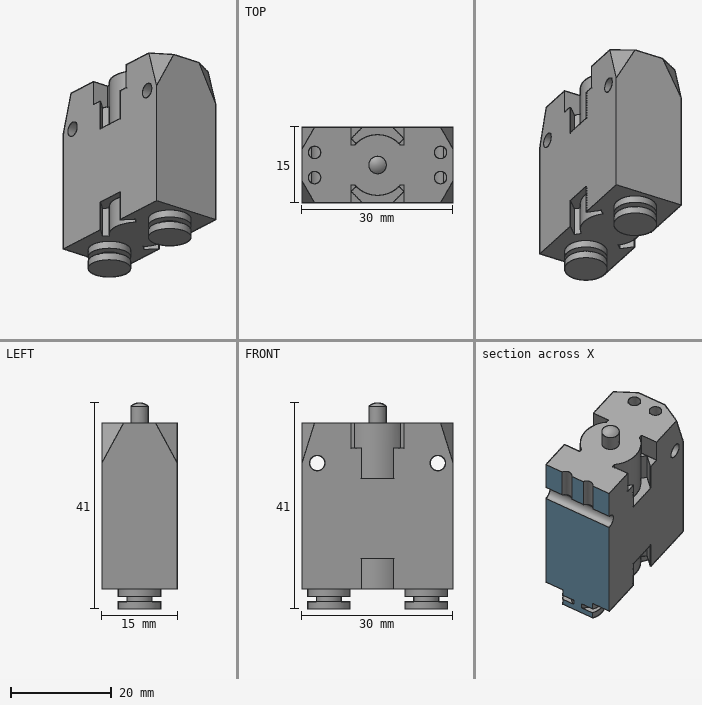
import cadquery as cq

body_width = 30.0
body_depth = 15.0
body_height = 33.0
half_width = body_width / 2
half_depth = body_depth / 2

corner_cut_x = 2.5
corner_cut_y = 4.35
corner_cut_z = 8.0

core_radius = 6.03
notch_width = 10.5
notch_inner_y = 3.95
notch_depth = 5.0
recess_opening = 6.4
top_recess_depth = 11.03
bottom_recess_height = 6.03

cross_hole_diameter = 3.0
cross_hole_x = 11.97
cross_hole_drop = 8.0
cross_hole_z = body_height - cross_hole_drop
top_hole_diameter = 2.45
top_hole_x = 12.5
top_hole_y = 2.5
top_hole_depth = 7.0

pin_radius = 3.5 / 2
pin_dome_height = 0.7

foot_radius = 8.5 / 2
foot_neck_radius = 5.0 / 2
foot_x = 9.68
foot_flange_height = 1.5
foot_neck_height = 1.0
foot_height = 2 * foot_flange_height + foot_neck_height

overall_height = 41
pin_height = overall_height - foot_height - body_height
pin_side_height = pin_height - pin_dome_height


def corner_cutter(side_x, side_y):
    """Tetrahedron that slices one top corner off the block."""
    corner = cq.Vector(side_x * half_width, side_y * half_depth, body_height)
    along_x = corner - cq.Vector(side_x * corner_cut_x, 0, 0)
    along_y = corner - cq.Vector(0, side_y * corner_cut_y, 0)
    below = corner - cq.Vector(0, 0, corner_cut_z)
    triangles = [
        (corner, along_x, along_y),
        (corner, along_y, below),
        (corner, below, along_x),
        (along_x, along_y, below),
    ]
    faces = [cq.Face.makeFromWires(cq.Wire.makePolygon(points, close=True)) for points in triangles]
    return cq.Workplane(obj=cq.Solid.makeSolid(cq.Shell.makeShell(faces)))


def core(bottom, height):
    """Length of the round core that the recesses leave standing."""
    return cq.Workplane(origin=(0, 0, bottom)).circle(core_radius).extrude(height)


def recess_cutter(bottom, height):
    """Front recess around the core: a short straight lip, then 45 degree undercut walls."""
    half_opening = recess_opening / 2
    widest = notch_width / 2
    lip_y = 2 * widest - half_opening
    outline = [
        (0, 0),
        (widest, -widest),
        (half_opening, -lip_y),
        (half_opening, -half_depth),
        (-half_opening, -half_depth),
        (-half_opening, -lip_y),
        (-widest, -widest),
    ]
    pocket = cq.Workplane(origin=(0, 0, bottom)).polyline(outline).close().extrude(height)
    return pocket.cut(core(bottom, height))


def notch_cutter():
    """Wider square-sided step at the top of the front recess."""
    bottom = body_height - notch_depth
    notch = cq.Workplane().box(
        notch_width, half_depth - notch_inner_y, notch_depth, centered=(True, False, False)
    ).translate((0, -half_depth, bottom))
    return notch.cut(core(bottom, notch_depth))


def foot():
    lower_flange = cq.Workplane(origin=(0, 0, -foot_height)).circle(foot_radius).extrude(foot_flange_height)
    neck = lower_flange.faces(">Z").workplane().circle(foot_neck_radius).extrude(foot_neck_height)
    return neck.faces(">Z").workplane().circle(foot_radius).extrude(foot_flange_height)


def pin():
    """Round pin whose tip is a spherical cap."""
    dome_radius = (pin_radius**2 + pin_dome_height**2) / (2 * pin_dome_height)
    cap_mid_x = pin_radius / 2
    cap_mid_y = pin_height - dome_radius + (dome_radius**2 - cap_mid_x**2) ** 0.5
    profile = (
        cq.Workplane("XZ", origin=(0, 0, body_height))
        .lineTo(pin_radius, 0)
        .lineTo(pin_radius, pin_side_height)
        .threePointArc((cap_mid_x, cap_mid_y), (0, pin_height))
        .close()
    )
    return profile.revolve(360, (0, 0, 0), (0, 1, 0))


result = cq.Workplane().box(body_width, body_depth, body_height, centered=(True, True, False))

for side_x in (-1, 1):
    for side_y in (-1, 1):
        result = result.cut(corner_cutter(side_x, side_y))

front_cutters = [
    notch_cutter(),
    recess_cutter(body_height - top_recess_depth, top_recess_depth - notch_depth),
    recess_cutter(0, bottom_recess_height),
]
for cutter in front_cutters:
    result = result.cut(cutter)
    result = result.cut(cutter.rotate((0, 0, 0), (0, 0, 1), 180))

cross_holes = (
    cq.Workplane("XZ")
    .pushPoints([(-cross_hole_x, cross_hole_z), (cross_hole_x, cross_hole_z)])
    .circle(cross_hole_diameter / 2)
    .extrude(half_depth, both=True)
)
result = result.cut(cross_holes)

top_holes = (
    cq.Workplane(origin=(0, 0, body_height))
    .rect(2 * top_hole_x, 2 * top_hole_y, forConstruction=True)
    .vertices()
    .circle(top_hole_diameter / 2)
    .extrude(-top_hole_depth)
)
result = result.cut(top_holes)

for side_x in (-1, 1):
    result = result.union(foot().translate((side_x * foot_x, 0, 0)))
result = result.union(pin())